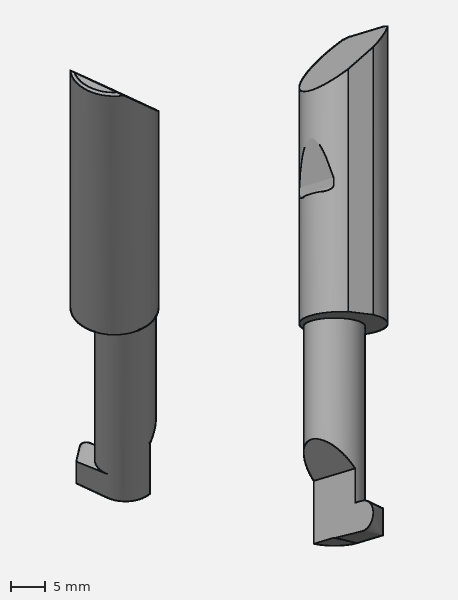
import cadquery as cq
import math

total_length = 76.1
shank_radius = 6.355
shank_bottom = 31.7
rim_chamfer_width = 0.45
rim_chamfer_height = 0.3
bevel_start_y = -4.5
side_flat_angle = 162.0
side_flat_half_angle = 18.0

notch_bottom = 49.85
notch_top = 58.1
notch_depth = 1.15
notch_slope_end = 51.75
notch_corner_radius = 0.75

neck_radius = 4.4
neck_center_x = shank_radius - neck_radius
neck_bottom = 0.3
rake_relief_bottom = 9.7

nose_radius = 2.245
nose_tip_x = -6.3
nose_tip_height = 0.04
head_rise = 0.2
head_end_x = neck_center_x
head_end_top = 4.7
rear_top = 4.35
rear_corner_radius = 0.04
nose_flank_x = -3.6


def prism_along_x(profile, length):
    """Extrude a closed YZ outline symmetrically along X."""
    return profile.extrude(length / 2, both=True)


def make_shank():
    length = total_length - shank_bottom
    shank = cq.Workplane("XY").workplane(offset=shank_bottom).circle(shank_radius).extrude(length)
    shank = shank.faces(">Z").edges().chamfer(rim_chamfer_height, rim_chamfer_width)
    shank = shank.cut(make_end_bevel()).cut(make_clamping_notch())
    return shank.cut(make_side_flat())


def make_end_bevel():
    drop = shank_radius - bevel_start_y
    outline = (
        cq.Workplane("YZ")
        .moveTo(bevel_start_y, total_length)
        .lineTo(shank_radius, total_length)
        .lineTo(shank_radius, total_length - drop)
        .close()
    )
    return prism_along_x(outline, 2 * shank_radius)


def make_clamping_notch():
    floor_y = shank_radius - notch_depth
    corner_z = notch_bottom + notch_corner_radius
    outline = (
        cq.Workplane("YZ")
        .moveTo(shank_radius, notch_top)
        .lineTo(floor_y, notch_slope_end)
        .lineTo(floor_y, corner_z)
        .radiusArc((floor_y + notch_corner_radius, notch_bottom), -notch_corner_radius)
        .lineTo(shank_radius, notch_bottom)
        .close()
    )
    return prism_along_x(outline, 2 * shank_radius)


def make_side_flat():
    flat_distance = shank_radius * math.cos(math.radians(side_flat_half_angle))
    return (
        cq.Workplane("XY")
        .box(shank_radius, 2 * shank_radius, total_length, centered=(False, True, False))
        .translate((flat_distance, 0, 0))
        .rotate((0, 0, 0), (0, 0, 1), side_flat_angle)
    )


def make_neck():
    neck = (
        cq.Workplane("XY")
        .workplane(offset=neck_bottom)
        .center(neck_center_x, 0)
        .circle(neck_radius)
        .extrude(shank_bottom - neck_bottom)
    )
    relief = (
        cq.Workplane("YZ", origin=(neck_center_x, 0, 0))
        .lineTo(neck_radius, 0)
        .lineTo(neck_radius, rake_relief_bottom + neck_radius)
        .lineTo(0, rake_relief_bottom)
        .close()
    )
    return neck.cut(prism_along_x(relief, 2 * neck_radius))


def head_section(start_y, front_x, bottom, top, corner_radius, end_bottom):
    """Closed XZ outline at start_y: a straight +X end and a -X front with two rounded corners."""
    diagonal = corner_radius * math.sqrt(0.5)
    center_x = front_x + corner_radius
    lower_center_z = bottom + corner_radius
    upper_center_z = top - corner_radius
    return (
        cq.Workplane("XZ", origin=(0, start_y, 0))
        .moveTo(head_end_x, end_bottom)
        .lineTo(center_x, bottom)
        .threePointArc((center_x - diagonal, lower_center_z - diagonal), (front_x, lower_center_z))
        .lineTo(front_x, upper_center_z)
        .threePointArc((center_x - diagonal, upper_center_z + diagonal), (center_x, top))
        .lineTo(head_end_x, head_end_top)
        .close()
        .val()
    )


def make_head():
    edge_top = 2 * nose_radius + nose_tip_height
    cutting_section = head_section(0, nose_tip_x, 0, edge_top, nose_radius, head_rise)
    rear_section = head_section(
        -neck_radius, nose_flank_x, neck_bottom, rear_top, rear_corner_radius, neck_bottom
    )
    return cq.Workplane(cq.Solid.makeLoft([cutting_section, rear_section], True))


result = make_shank().union(make_neck()).union(make_head())